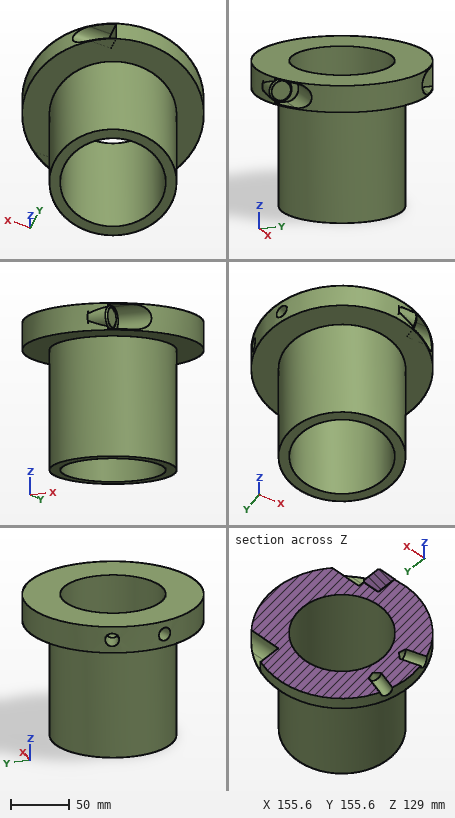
import cadquery as cq
import math

flange_radius = 77.8
flange_thickness = 23.8
tube_radius = 54.5
bore_radius = 45.1
total_height = 129.0
flange_bottom = total_height - flange_thickness
flange_middle = total_height - flange_thickness / 2

hole_radius = 5.9
hole_depth = 20.2
hole_spread_angle = 17.6
drill_point_angle = 118.0
drill_point_length = hole_radius / math.tan(math.radians(drill_point_angle / 2))

plug_radius = 10.3
plug_axis_y = -67.2
plug_chamfer = 1.5
plug_start_x = 10.9
plug_end_x = 29.2

pocket_radius = 10.9
pocket_axis_y = -61.6
pocket_start_x = 27.7


def make_plug():
    """Round plug with a chamfered free end."""
    return (
        cq.Workplane("YZ", origin=(plug_start_x, plug_axis_y, flange_middle))
        .circle(plug_radius)
        .extrude(plug_end_x - plug_start_x)
        .faces(">X")
        .chamfer(plug_chamfer)
    )


def make_pocket_cutter():
    """Round-bottomed channel along X, open toward -Y."""
    length = flange_radius - pocket_start_x
    channel_depth = flange_radius + pocket_axis_y
    plane = cq.Workplane("YZ", origin=(pocket_start_x, pocket_axis_y, flange_middle))
    round_bottom = plane.circle(pocket_radius).extrude(length)
    mouth = plane.center(-channel_depth / 2, 0).rect(channel_depth, 2 * pocket_radius).extrude(length)
    return round_bottom.union(mouth)


def make_hole_cutter(angle):
    """Drilled hole with a conical bottom, pointing at the Z axis."""
    bottom_radius = flange_radius - hole_depth
    return (
        cq.Workplane("XY")
        .moveTo(-flange_radius, 0)
        .lineTo(-flange_radius, hole_radius)
        .lineTo(-bottom_radius, hole_radius)
        .lineTo(-bottom_radius + drill_point_length, 0)
        .close()
        .revolve(360, (0, 0, 0), (1, 0, 0))
        .translate((0, 0, flange_middle))
        .rotate((0, 0, 0), (0, 0, 1), angle)
    )


def make_sleeve(plug):
    """Tube with a top flange, drilled holes, two side pockets and a plug seat."""
    tube = cq.Workplane("XY").circle(tube_radius).extrude(total_height)
    flange = cq.Workplane("XY", origin=(0, 0, flange_bottom)).circle(flange_radius).extrude(flange_thickness)
    bore = cq.Workplane("XY").circle(bore_radius).extrude(total_height)
    pocket = make_pocket_cutter()
    sleeve = tube.union(flange).cut(bore).cut(pocket).cut(pocket.mirror("XZ"))
    for angle in (-hole_spread_angle, hole_spread_angle):
        sleeve = sleeve.cut(make_hole_cutter(angle))
    return sleeve.cut(plug)


plug = make_plug()
sleeve = make_sleeve(plug)

result = cq.Compound.makeCompound([sleeve.val(), plug.val()])